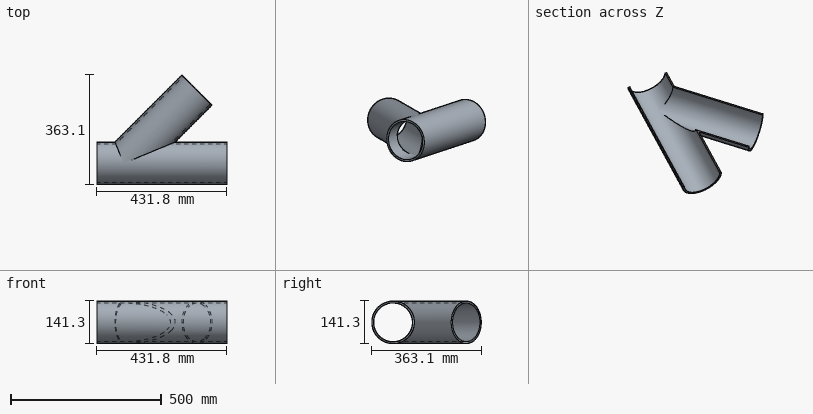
import cadquery as cq

OUTER_DIAMETER = 141.3
BORE_DIAMETER = 128.19
RUN_LENGTH = 431.8
RUN_INLET_LENGTH = 88.9
BRANCH_LENGTH = 342.9
BRANCH_ANGLE = 45.0


def run_cylinder(diameter):
    """Cylinder along X over the full length of the run."""
    return (
        cq.Workplane("YZ", origin=(-RUN_INLET_LENGTH, 0, 0))
        .circle(diameter / 2)
        .extrude(RUN_LENGTH)
    )


def branch_cylinder(diameter):
    """Cylinder from the axis crossing to the open end of the branch."""
    along_x = cq.Workplane("YZ").circle(diameter / 2).extrude(BRANCH_LENGTH)
    return along_x.rotate((0, 0, 0), (0, 0, 1), BRANCH_ANGLE)


def joined_cylinders(diameter):
    """Run and branch cylinders of one diameter, merged into one body."""
    return run_cylinder(diameter).union(branch_cylinder(diameter))


result = joined_cylinders(OUTER_DIAMETER).cut(joined_cylinders(BORE_DIAMETER))